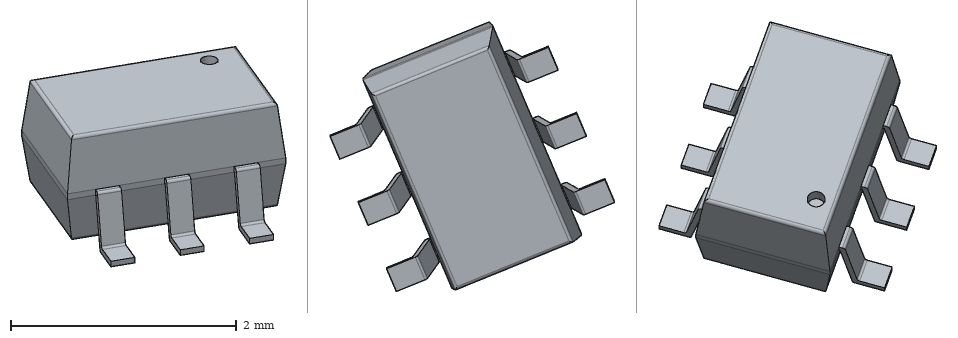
import cadquery as cq
import math

housing_width = 1.25
housing_length = 2.05
housing_top = 1.1
standoff = 0.05
band_top = 0.565
band_height = 0.059
taper_inset = 0.06
top_edge_radius = 0.034
bottom_edge_radius = 0.03

dimple_diameter = 0.155
dimple_depth = 0.125
dimple_x = -0.378

lead_span = 2.1
lead_thickness = 0.057
lead_width = 0.225
lead_pitch = 0.65
leads_per_side = 3
foot_length = 0.252
shank_lean = 13.0
foot_bend_radius = 0.025
knee_bend_radius = 0.03

band_bottom = band_top - band_height
lead_top = band_bottom + lead_thickness
dimple_y = lead_pitch


def tapered_block(base_z, height):
    """Block growing from the parting band to an inset end face; negative height grows down."""
    draft = math.degrees(math.atan(taper_inset / abs(height)))
    return (
        cq.Workplane("XY")
        .workplane(offset=base_z)
        .rect(housing_width, housing_length)
        .extrude(height, taper=draft)
    )


def make_housing():
    upper = tapered_block(band_top, housing_top - band_top)
    upper = upper.faces(">Z").edges().fillet(top_edge_radius)

    lower = tapered_block(band_bottom, standoff - band_bottom)
    lower = lower.faces("<Z").edges().fillet(bottom_edge_radius)

    band = (
        cq.Workplane("XY")
        .workplane(offset=band_bottom)
        .rect(housing_width, housing_length)
        .extrude(band_height)
    )
    dimple = (
        cq.Workplane("XY")
        .workplane(offset=housing_top - dimple_depth)
        .center(dimple_x, dimple_y)
        .circle(dimple_diameter / 2)
        .extrude(dimple_depth)
    )
    return band.union(upper).union(lower).cut(dimple)


def make_left_lead():
    """Lead on the -X side, centred on Y = 0, with its sole at Z = 0."""
    tip_x = -lead_span / 2
    root_x = -housing_width / 2

    foot_corner_x = tip_x + foot_length
    shank_run = (lead_top - lead_thickness) * math.tan(math.radians(shank_lean))
    knee_corner_x = foot_corner_x + shank_run

    bend_angle = math.radians(90 - shank_lean)
    corner_shift = lead_thickness * math.tan(bend_angle / 2)
    heel_corner = (foot_corner_x + corner_shift, 0)
    foot_corner = (foot_corner_x, lead_thickness)
    knee_corner = (knee_corner_x, lead_top)
    knee_inner_corner = (knee_corner_x + corner_shift, band_bottom)

    lead = (
        cq.Workplane("XZ")
        .moveTo(tip_x, 0)
        .lineTo(*heel_corner)
        .lineTo(*knee_inner_corner)
        .lineTo(root_x, band_bottom)
        .lineTo(root_x, lead_top)
        .lineTo(*knee_corner)
        .lineTo(*foot_corner)
        .lineTo(tip_x, lead_thickness)
        .close()
        .extrude(lead_width / 2, both=True)
    )
    rounded_corners = (
        (heel_corner, foot_bend_radius),
        (foot_corner, foot_bend_radius),
        (knee_corner, knee_bend_radius),
    )
    for (x, z), radius in rounded_corners:
        lead = lead.edges(cq.selectors.NearestToPointSelector((x, 0, z))).fillet(radius)
    return lead


def make_leads():
    left_lead = make_left_lead()
    right_lead = left_lead.mirror("YZ")
    leads = []
    for index in range(leads_per_side):
        lead_y = (index - (leads_per_side - 1) / 2) * lead_pitch
        for lead in (left_lead, right_lead):
            leads.append(lead.translate((0, lead_y, 0)).val())
    return leads


housing = make_housing()
leads = make_leads()

result = cq.Compound.makeCompound([housing.val(), *leads])